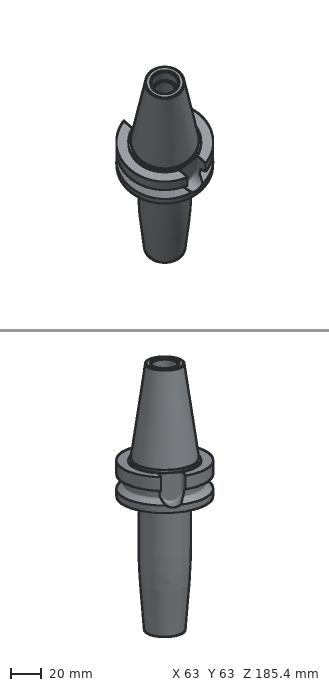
import cadquery as cq
import math

TOTAL_LENGTH = 185.4
TAPER_LENGTH = 65.5
GAUGE_Z = TOTAL_LENGTH - TAPER_LENGTH

GAUGE_RADIUS = 22.2
TAPER_SLOPE = 7 / 24 / 2
TAPER_TOP_RADIUS = GAUGE_RADIUS - TAPER_LENGTH * TAPER_SLOPE
EDGE_CHAMFER = 0.5

FLANGE_RADIUS = 31.5
FLANGE_TOP = GAUGE_Z - 2.0
FLANGE_BOTTOM = 93.0
GAUGE_LAND = 0.4
RELIEF_INNER_RADIUS = 21.9
RELIEF_OUTER_RADIUS = 23.7
RELIEF_DEPTH = 0.5

GROOVE_UPPER_EDGE = 108.5
GROOVE_LOWER_EDGE = 98.3
GROOVE_ROOT_RADIUS = 26.5
GROOVE_WALL_RISE = (FLANGE_RADIUS - GROOVE_ROOT_RADIUS) * math.tan(math.radians(30))
GROOVE_ROOT_FILLET = 1.1

SHANK_RADIUS = 17.0
SHANK_FILLET = 5.0
NOSE_RADIUS = 13.5
NOSE_ANGLE = math.radians(4.5)
BLEND_HALF_LENGTH = 11.7
NOSE_CONE_TOP = (SHANK_RADIUS - NOSE_RADIUS) / math.tan(NOSE_ANGLE)

SLOT_WIDTH = 16.1
SLOT_FLOOR_X = 22.5
SLOT_BOTTOM = 96.8
SLOT_FLOOR_FILLET = 1.7

COUNTERBORE_RADIUS = 8.5
COUNTERBORE_DEPTH = 9.6
BORE_MOUTH_CHAMFER = 1.0
THREAD_HOLE_RADIUS = 7.0
THREAD_HOLE_DEPTH = 31.5
DRILL_POINT_ANGLE = math.radians(118)


def make_body():
    """Revolve the outer half profile about Z."""
    blend_start_z = NOSE_CONE_TOP - BLEND_HALF_LENGTH * math.cos(NOSE_ANGLE)
    blend_start_radius = SHANK_RADIUS - BLEND_HALF_LENGTH * math.sin(NOSE_ANGLE)
    chamfer_radius = NOSE_RADIUS + EDGE_CHAMFER * math.tan(NOSE_ANGLE)
    relief_floor = FLANGE_TOP - RELIEF_DEPTH
    land_bottom = GAUGE_Z - GAUGE_LAND
    taper_shoulder = TOTAL_LENGTH - EDGE_CHAMFER
    return (
        cq.Workplane("XZ")
        .lineTo(NOSE_RADIUS - EDGE_CHAMFER, 0)
        .lineTo(chamfer_radius, EDGE_CHAMFER)
        .lineTo(blend_start_radius, blend_start_z)
        .tangentArcPoint((SHANK_RADIUS, NOSE_CONE_TOP + BLEND_HALF_LENGTH), relative=False)
        .lineTo(SHANK_RADIUS, FLANGE_BOTTOM - SHANK_FILLET)
        .tangentArcPoint((SHANK_RADIUS + SHANK_FILLET, FLANGE_BOTTOM), relative=False)
        .lineTo(FLANGE_RADIUS, FLANGE_BOTTOM)
        .lineTo(FLANGE_RADIUS, FLANGE_TOP)
        .lineTo(RELIEF_OUTER_RADIUS, FLANGE_TOP)
        .lineTo(RELIEF_OUTER_RADIUS, relief_floor)
        .lineTo(RELIEF_INNER_RADIUS, relief_floor)
        .lineTo(RELIEF_INNER_RADIUS, land_bottom - (GAUGE_RADIUS - RELIEF_INNER_RADIUS))
        .lineTo(GAUGE_RADIUS, land_bottom)
        .lineTo(GAUGE_RADIUS, GAUGE_Z)
        .lineTo(TAPER_TOP_RADIUS + EDGE_CHAMFER * TAPER_SLOPE, taper_shoulder)
        .lineTo(TAPER_TOP_RADIUS - EDGE_CHAMFER, TOTAL_LENGTH)
        .lineTo(0, TOTAL_LENGTH)
        .close()
        .revolve(360, (0, 0, 0), (0, 1, 0))
    )


def make_groove():
    """Ring that cuts the V groove, with its root corners rounded."""
    ring = (
        cq.Workplane("XZ")
        .moveTo(FLANGE_RADIUS, GROOVE_LOWER_EDGE)
        .lineTo(GROOVE_ROOT_RADIUS, GROOVE_LOWER_EDGE + GROOVE_WALL_RISE)
        .lineTo(GROOVE_ROOT_RADIUS, GROOVE_UPPER_EDGE - GROOVE_WALL_RISE)
        .lineTo(FLANGE_RADIUS, GROOVE_UPPER_EDGE)
        .close()
        .revolve(360, (0, 0, 0), (0, 1, 0))
    )
    root_corners = cq.selectors.RadiusNthSelector(0)
    return ring.edges("%CIRCLE").edges(root_corners).fillet(GROOVE_ROOT_FILLET)


def make_slot():
    """Round-ended cutter for the +X drive slot, rounded around its floor."""
    half_width = SLOT_WIDTH / 2
    arc_center_z = SLOT_BOTTOM + half_width
    cutter = (
        cq.Workplane("YZ", origin=(SLOT_FLOOR_X, 0, 0))
        .moveTo(-half_width, GAUGE_Z)
        .lineTo(-half_width, arc_center_z)
        .threePointArc((0, SLOT_BOTTOM), (half_width, arc_center_z))
        .lineTo(half_width, GAUGE_Z)
        .close()
        .extrude(FLANGE_RADIUS - SLOT_FLOOR_X + 1.9)
    )
    floor_edges = cutter.faces("<X").edges("not >Z")
    return floor_edges.fillet(SLOT_FLOOR_FILLET)


def make_bore():
    """Counterbore, threaded-rod hole and drill point as one revolved cutter."""
    ledge_z = TOTAL_LENGTH - COUNTERBORE_DEPTH
    hole_bottom = TOTAL_LENGTH - THREAD_HOLE_DEPTH
    point_depth = THREAD_HOLE_RADIUS / math.tan(DRILL_POINT_ANGLE / 2)
    return (
        cq.Workplane("XZ")
        .moveTo(0, TOTAL_LENGTH)
        .lineTo(COUNTERBORE_RADIUS + BORE_MOUTH_CHAMFER, TOTAL_LENGTH)
        .lineTo(COUNTERBORE_RADIUS, TOTAL_LENGTH - BORE_MOUTH_CHAMFER)
        .lineTo(COUNTERBORE_RADIUS, ledge_z)
        .lineTo(THREAD_HOLE_RADIUS, ledge_z)
        .lineTo(THREAD_HOLE_RADIUS, hole_bottom)
        .lineTo(0, hole_bottom - point_depth)
        .close()
        .revolve(360, (0, 0, 0), (0, 1, 0))
    )


result = make_body().cut(make_groove()).cut(make_bore())
for side_angle in (0, 180):
    result = result.cut(make_slot().rotate((0, 0, 0), (0, 0, 1), side_angle))